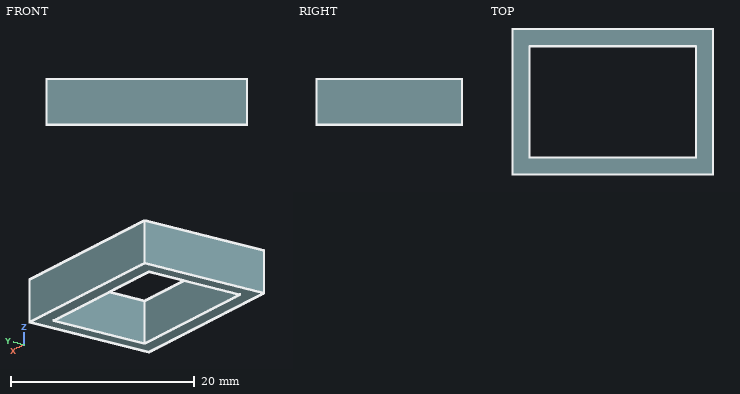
import cadquery as cq

length = 21.9
width = 15.9
height = 5.0
wall = 1.9

opening_length = length - 2 * wall
opening_width = width - 2 * wall

result = (
    cq.Workplane("XY")
    .rect(length, width)
    .rect(opening_length, opening_width)
    .extrude(height)
)